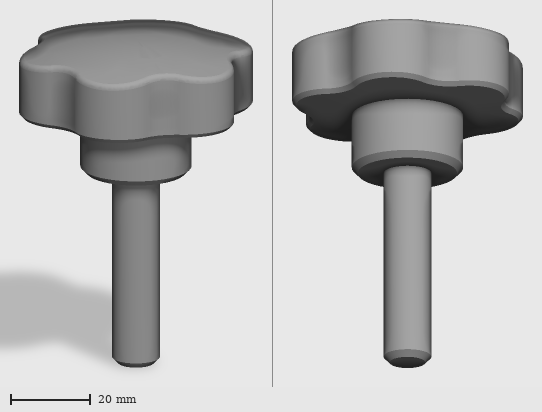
import cadquery as cq
import math

total_height = 85.0
pin_length = 50.0
head_height = 20.2
head_bottom = total_height - head_height

pin_diameter = 12.0
hub_diameter = 28.0
end_chamfer = 1.5

lobe_count = 6
lobe_radius = 11.0
grip_radius = 30.0
valley_radius = 9.0
dome_radius = 112.2
underside_radius = 382.5
top_fillet = 1.5
bottom_chamfer = 1.0
blank_margin = 4.25

pitch = 2 * math.pi / lobe_count
first_lobe_angle = math.pi / 2
lobe_center_radius = grip_radius - lobe_radius

half_spacing = lobe_center_radius * math.sin(pitch / 2)
valley_reach = math.sqrt((lobe_radius + valley_radius) ** 2 - half_spacing ** 2)
valley_center_radius = lobe_center_radius * math.cos(pitch / 2) + valley_reach
valley_floor_radius = valley_center_radius - valley_radius

tangent_share = valley_radius / (lobe_radius + valley_radius)
tangent_offset = half_spacing * tangent_share
tangent_distance = valley_center_radius - valley_reach * tangent_share
tangent_radius = math.hypot(tangent_distance, tangent_offset)
tangent_angle = math.atan2(tangent_offset, tangent_distance)


def polar(radius, angle):
    return (radius * math.cos(angle), radius * math.sin(angle))


def grip_outline(base_height):
    """Closed outline of alternating convex lobes and concave valleys."""
    start_angle = first_lobe_angle - pitch / 2 + tangent_angle
    outline = cq.Workplane("XY").workplane(offset=base_height)
    outline = outline.moveTo(*polar(tangent_radius, start_angle))
    for index in range(lobe_count):
        lobe_angle = first_lobe_angle + index * pitch
        valley_angle = lobe_angle + pitch / 2
        valley_start = polar(tangent_radius, valley_angle - tangent_angle)
        valley_end = polar(tangent_radius, valley_angle + tangent_angle)
        outline = outline.threePointArc(polar(grip_radius, lobe_angle), valley_start)
        outline = outline.threePointArc(polar(valley_floor_radius, valley_angle), valley_end)
    return outline.close()


def lens_blank():
    """Round blank with a domed top and a slightly convex underside."""
    blank_radius = grip_radius + blank_margin
    dome_drop = dome_radius - math.sqrt(dome_radius ** 2 - blank_radius ** 2)
    underside_rise = underside_radius - math.sqrt(underside_radius ** 2 - blank_radius ** 2)
    dome_mid_angle = math.asin(blank_radius / dome_radius) / 2
    underside_mid_angle = math.asin(blank_radius / underside_radius) / 2
    dome_mid = (
        dome_radius * math.sin(dome_mid_angle),
        total_height - dome_radius * (1 - math.cos(dome_mid_angle)),
    )
    underside_mid = (
        underside_radius * math.sin(underside_mid_angle),
        head_bottom + underside_radius * (1 - math.cos(underside_mid_angle)),
    )
    return (
        cq.Workplane("XZ")
        .moveTo(0, head_bottom)
        .threePointArc(underside_mid, (blank_radius, head_bottom + underside_rise))
        .lineTo(blank_radius, total_height - dome_drop)
        .threePointArc(dome_mid, (0, total_height))
        .close()
        .revolve(360, (0, 0), (0, 1))
    )


def grip_head():
    prism = grip_outline(head_bottom).extrude(head_height)
    head = prism.intersect(lens_blank())
    head = head.faces(">Z").edges("not #Z").fillet(top_fillet)
    return head.faces("<Z").edges().chamfer(bottom_chamfer)


def chamfered_post(diameter, base_height, top_height):
    """Upright round post with a chamfer around its lower end."""
    return (
        cq.Workplane("XY")
        .workplane(offset=base_height)
        .circle(diameter / 2)
        .extrude(top_height - base_height)
        .faces("<Z")
        .chamfer(end_chamfer)
    )


post_top = head_bottom + head_height / 2
pin = chamfered_post(pin_diameter, 0, post_top)
hub = chamfered_post(hub_diameter, pin_length, post_top)
result = grip_head().union(hub).union(pin)